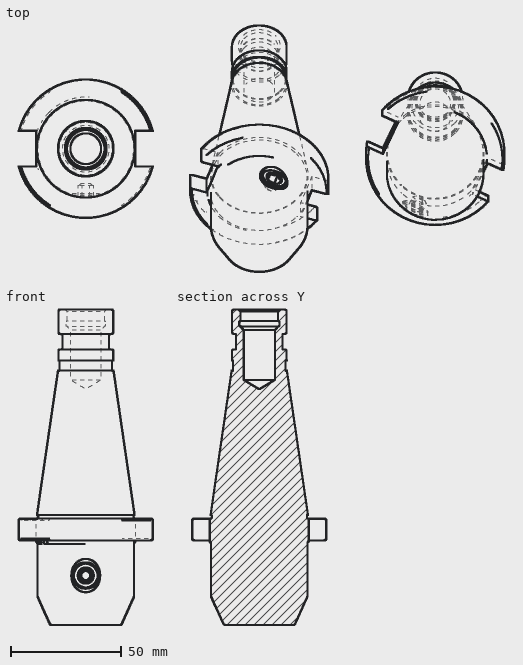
import cadquery as cq
import math


GAUGE_DIAMETER = 44.45
TAPER_RATIO = 7 / 24
SHANK_LENGTH = 93.4
TAPER_LENGTH = 65.6

KNOB_DIAMETER = 25.0
KNOB_LENGTH = 11.3
KNOB_EDGE = 1.0
GROOVE_DIAMETER = 21.2
GROOVE_ROOT_RADIUS = 0.5
GROOVE_LENGTH = 6.9
COLLAR_LENGTH = 5.1
COLLAR_EDGE = 0.7
NECK_DIAMETER = 24.0

RELIEF_DIAMETER = 43.4
RELIEF_LENGTH = 1.6
RELIEF_ROOT_RADIUS = 0.5
FLANGE_DIAMETER = 63.0
FLANGE_THICKNESS = 10.0
FLANGE_EDGE = 1.0
DRIVE_SLOT_WIDTH = 16.1
DRIVE_SLOT_FLOOR = 22.5

NOSE_LENGTH = 50.0
BODY_DIAMETER = 44.0
BODY_ROOT_RADIUS = 1.5
NOSE_CONE_LENGTH = 13.0
NOSE_CONE_ANGLE = 24.2
NOSE_EDGE = 1.0
SHOULDER_RADIUS = 2.0

COUNTERBORE_DIAMETER = 17.0
COUNTERBORE_DEPTH = 7.7
UNDERCUT_DIAMETER = 18.0
UNDERCUT_LENGTH = 2.4
UNDERCUT_ROOT_RADIUS = 0.5
COUNTERBORE_CHAMFER = 1.0
CORE_DIAMETER = 14.0
CORE_DEPTH = 32.0
STEP_ANGLE = 40.0
DRILL_POINT_ANGLE = 59.0

SCREW_HEIGHT = 22.5
SCREW_DIAMETER = 12.0
SCREW_EDGE = 0.6
COUNTERSINK_DIAMETER = 15.2
COUNTERSINK_DEPTH = (COUNTERSINK_DIAMETER - SCREW_DIAMETER) / 2
SCREW_RECESS = 0.3
SOCKET_FLATS = 6.0
SOCKET_DEPTH = 5.0
SOCKET_MOUTH_DIAMETER = 7.3
SOCKET_FLOOR_DIAMETER = 4.2

FLANGE_TOP = -RELIEF_LENGTH
FLANGE_BOTTOM = FLANGE_TOP - FLANGE_THICKNESS
KNOB_BOTTOM = SHANK_LENGTH - KNOB_LENGTH
COLLAR_TOP = KNOB_BOTTOM - GROOVE_LENGTH
COLLAR_BOTTOM = COLLAR_TOP - COLLAR_LENGTH


def disc(diameter, bottom, top):
    """Cylinder about Z between two heights."""
    return cq.Workplane("XY", origin=(0, 0, bottom)).circle(diameter / 2).extrude(top - bottom)


def turned(points):
    """Solid of revolution about Z from (radius, height) points."""
    return cq.Workplane("XZ").polyline(points).close().revolve(360, (0, 0, 0), (0, 1, 0))


def waist(diameter, root_radius, bottom, top):
    """Cylinder between two wider discs, with a concave fillet at each end."""
    radius = diameter / 2
    outer = radius + root_radius
    bend = root_radius * (1 - math.sqrt(0.5))
    return (
        cq.Workplane("XZ")
        .moveTo(0, bottom)
        .lineTo(outer, bottom)
        .threePointArc((radius + bend, bottom + bend), (radius, bottom + root_radius))
        .lineTo(radius, top - root_radius)
        .threePointArc((radius + bend, top - bend), (outer, top))
        .lineTo(0, top)
        .close()
        .revolve(360, (0, 0, 0), (0, 1, 0))
    )


def make_shank():
    taper_top_radius = (GAUGE_DIAMETER - TAPER_RATIO * TAPER_LENGTH) / 2
    taper = turned([
        (0, 0),
        (GAUGE_DIAMETER / 2, 0),
        (taper_top_radius, TAPER_LENGTH),
        (0, TAPER_LENGTH),
    ])
    neck = disc(NECK_DIAMETER, TAPER_LENGTH, COLLAR_BOTTOM)
    collar = disc(KNOB_DIAMETER, COLLAR_BOTTOM, COLLAR_TOP).faces(">Z").edges().fillet(COLLAR_EDGE)
    groove = waist(GROOVE_DIAMETER, GROOVE_ROOT_RADIUS, COLLAR_TOP, KNOB_BOTTOM)
    knob = disc(KNOB_DIAMETER, KNOB_BOTTOM, SHANK_LENGTH).faces("<Z or >Z").edges().fillet(KNOB_EDGE)
    return taper.union(neck).union(collar).union(groove).union(knob)


def make_flange():
    relief = waist(RELIEF_DIAMETER, RELIEF_ROOT_RADIUS, FLANGE_TOP, 0)
    flange = disc(FLANGE_DIAMETER, FLANGE_BOTTOM, FLANGE_TOP).faces("<Z or >Z").edges().fillet(FLANGE_EDGE)
    return flange.union(relief)


def make_nose():
    body_radius = BODY_DIAMETER / 2
    cone_top = NOSE_CONE_LENGTH - NOSE_LENGTH
    face_radius = body_radius - NOSE_CONE_LENGTH * math.tan(math.radians(NOSE_CONE_ANGLE))
    nose = turned([
        (0, FLANGE_BOTTOM),
        (body_radius, FLANGE_BOTTOM),
        (body_radius, cone_top),
        (face_radius, -NOSE_LENGTH),
        (0, -NOSE_LENGTH),
    ])
    nose = nose.faces("%CONE").edges(">Z").fillet(SHOULDER_RADIUS)
    return nose.faces("<Z").edges().fillet(NOSE_EDGE)


def make_body_root():
    """Concave fillet ring between the flange and the body."""
    inner = BODY_DIAMETER / 2
    bend = BODY_ROOT_RADIUS * (1 - math.sqrt(0.5))
    return (
        cq.Workplane("XZ")
        .moveTo(0, FLANGE_BOTTOM)
        .lineTo(inner + BODY_ROOT_RADIUS, FLANGE_BOTTOM)
        .threePointArc(
            (inner + bend, FLANGE_BOTTOM - bend),
            (inner, FLANGE_BOTTOM - BODY_ROOT_RADIUS),
        )
        .lineTo(0, FLANGE_BOTTOM - BODY_ROOT_RADIUS)
        .close()
        .revolve(360, (0, 0, 0), (0, 1, 0))
    )


def make_drive_slot(side):
    slot_reach = FLANGE_DIAMETER / 2
    slot_height = FLANGE_THICKNESS + BODY_ROOT_RADIUS
    return cq.Workplane("XY").box(slot_reach, DRIVE_SLOT_WIDTH, slot_height).translate(
        (side * (DRIVE_SLOT_FLOOR + slot_reach / 2), 0, FLANGE_TOP - slot_height / 2)
    )


def make_tail_hole():
    counterbore_radius = COUNTERBORE_DIAMETER / 2
    core_radius = CORE_DIAMETER / 2
    step_length = (counterbore_radius - core_radius) / math.tan(math.radians(STEP_ANGLE))
    point_length = core_radius / math.tan(math.radians(DRILL_POINT_ANGLE))
    counterbore_floor = SHANK_LENGTH - COUNTERBORE_DEPTH
    undercut_top = counterbore_floor + UNDERCUT_LENGTH
    core_floor = SHANK_LENGTH - CORE_DEPTH
    undercut = disc(UNDERCUT_DIAMETER, counterbore_floor, undercut_top).edges().fillet(UNDERCUT_ROOT_RADIUS)
    hole = turned([
        (0, SHANK_LENGTH),
        (counterbore_radius + COUNTERBORE_CHAMFER, SHANK_LENGTH),
        (counterbore_radius, SHANK_LENGTH - COUNTERBORE_CHAMFER),
        (counterbore_radius, counterbore_floor),
        (core_radius, counterbore_floor - step_length),
        (core_radius, core_floor),
        (0, core_floor - point_length),
    ])
    return hole.union(undercut)


def turned_about_screw(points):
    """Solid of revolution about the screw axis from (radius, depth below the body surface) points."""
    profile = [(radius, depth - BODY_DIAMETER / 2) for radius, depth in points]
    return (
        cq.Workplane("XY")
        .polyline(profile)
        .close()
        .revolve(360, (0, 0, 0), (0, 1, 0))
        .translate((0, 0, SCREW_HEIGHT - NOSE_LENGTH))
    )


def make_countersink():
    return turned_about_screw([
        (0, 0),
        (COUNTERSINK_DIAMETER / 2, 0),
        (SCREW_DIAMETER / 2, COUNTERSINK_DEPTH),
        (0, COUNTERSINK_DEPTH),
    ])


def make_screw_head():
    """Bevelled end of the screw, standing in the countersink and rooted in the body."""
    screw_radius = SCREW_DIAMETER / 2
    root_depth = 2 * COUNTERSINK_DEPTH
    return turned_about_screw([
        (0, SCREW_RECESS),
        (screw_radius - SCREW_EDGE, SCREW_RECESS),
        (screw_radius, SCREW_RECESS + SCREW_EDGE),
        (screw_radius, root_depth),
        (0, root_depth),
    ])


def make_socket():
    """Hexagon socket with a 45 degree mouth bevel and a conical end down to a flat floor."""
    flat_distance = SOCKET_FLATS / 2
    mouth_radius = SOCKET_MOUTH_DIAMETER / 2
    floor_radius = SOCKET_FLOOR_DIAMETER / 2
    bevel_end = SCREW_RECESS + mouth_radius - flat_distance
    hexagon_end = SCREW_RECESS + SOCKET_DEPTH
    floor_depth = hexagon_end + flat_distance - floor_radius
    hexagon = (
        cq.Workplane("XZ", origin=(0, SCREW_RECESS - BODY_DIAMETER / 2, SCREW_HEIGHT - NOSE_LENGTH))
        .transformed(rotate=(0, 0, 30))
        .polygon(6, SOCKET_FLATS, circumscribed=True)
        .extrude(-SOCKET_DEPTH)
    )
    bevel_and_end = turned_about_screw([
        (0, SCREW_RECESS),
        (mouth_radius, SCREW_RECESS),
        (flat_distance, bevel_end),
        (flat_distance, hexagon_end),
        (floor_radius, floor_depth),
        (0, floor_depth),
    ])
    return hexagon.union(bevel_and_end)


result = make_shank().union(make_flange()).union(make_nose()).union(make_body_root())
for slot_side in (-1, 1):
    result = result.cut(make_drive_slot(slot_side))
result = result.cut(make_tail_hole())
result = result.cut(make_countersink()).union(make_screw_head()).cut(make_socket())